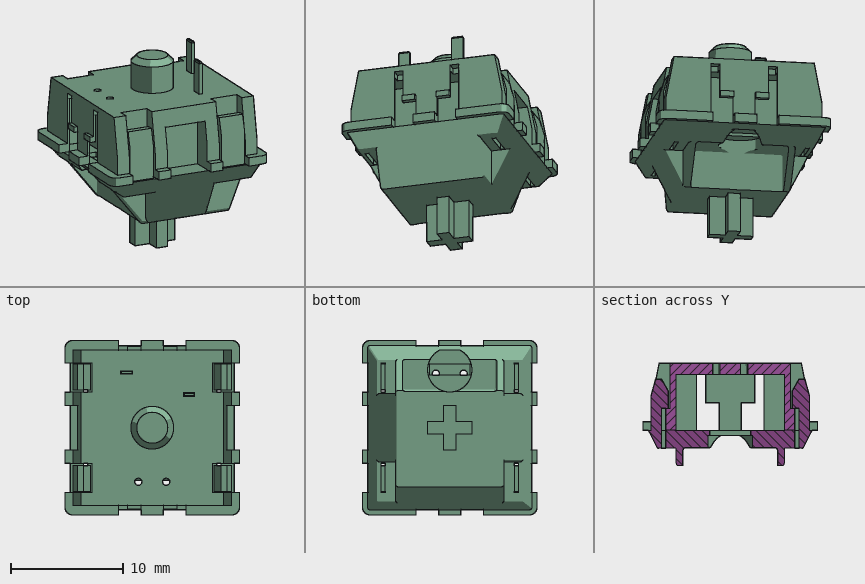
import cadquery as cq
import math


FLANGE_WIDTH = 15.6
FLANGE_THICKNESS = 0.79
FLANGE_CORNER_RADIUS = 0.74
BASE_HEIGHT = 6.0
BASE_HALF_X = 7.07
BASE_TOP_HALF_X = 6.35
BASE_HALF_Y = 6.93
TAPER_START_Z = 2.25

CLIP_POCKET_INNER_X = 5.37
CLIP_POCKET_Y = (3.18, 5.75)
LEDGE_OUTER_X = 5.75
LEDGE_TOP_Z = 1.98
SIDE_POCKET_INNER_X = 5.15
SIDE_POCKET_HALF_Y = 1.98
SIDE_POCKET_TOP_Z = 4.45

SKIN_THICKNESS = 0.2
CAVITY_HALF_X = 4.83
CAVITY_INNER_Y = 4.24
CAVITY_TOP_Z = 4.97
SLOT_INNER_X = 1.0
SLOT_STEP_X = 2.2
SLOT_OUTER_X = 3.0
SLOT_STEP_Z = 2.47
SLOT_TOP_Z = 5.5
SLOT_ROOF_DEPTH = 0.88
HOOK_HEIGHT = 0.5
HOOK_REACH = 0.33

POST_RADIUS = 1.9
POST_CHAMFER = 0.52
PIN_TOP_Z = 9.0
PIN_TIP_HEIGHT = 0.14
PIN_TIP_INSET = 0.07
PINS = [
    (-2.28, 4.92, 1.07, 0.3),
    (3.29, 2.95, 1.0, 0.33),
]
WIRE_HOLE_X = 1.25
WIRE_HOLE_Y = -4.81
WIRE_HOLE_RADIUS = 0.32

COVER_HEIGHT = 5.0
COVER_TOP_HALF = 7.32
COVER_BOTTOM_HALF_X = 4.72
COVER_BOTTOM_FRONT_Y = -3.32
COVER_BOTTOM_BACK_Y = 5.28
COVER_EDGE_RADIUS = 0.2
CORNER_RECESS_X = 4.85
CORNER_RECESS_Y = 3.05
CORNER_RECESS_TOP_Z = -1.6

FRONT_POCKET_HALF_X = 4.22
FRONT_POCKET_BACK_Y = -3.24
FRONT_POCKET_TOP_Z = -1.54
FRONT_POCKET_RADIUS = 0.26
LAMP_RADIUS = 1.98
LAMP_Y = -5.16
LAMP_RIM_RADIUS = 0.1
LAMP_ROOF_Z = -0.45
LAMP_WINDOW_HALF_X = 1.82
LAMP_WINDOW_Y = (-5.69, -4.69)

CLIP_Y = (3.38, 5.69)
CLIP_INNER_X = 6.1
CLIP_TOP_OUTER_X = 6.67
CLIP_TOP_Z = 4.57
CLIP_BEND_Z = 3.1
BARB_INNER_X = 5.51
BARB_SLOPE_END_Z = 3.5

STEM_SPAN = 3.95
STEM_ARM_WIDTH = 1.1
STEM_BOTTOM_Z = -8.5

MATCH_TOLERANCE = 0.002
SIDES = (-1, 1)
CORNERS = [(side_x, side_y) for side_x in SIDES for side_y in SIDES]


def block(x_range, y_range, z_range):
    """Box between two limits on each axis, given in either order."""
    sizes = [abs(b - a) for a, b in (x_range, y_range, z_range)]
    corner = [min(a, b) for a, b in (x_range, y_range, z_range)]
    return cq.Workplane("XY").box(*sizes, centered=False).translate(tuple(corner))


def scaled(limits, side):
    """Both limits multiplied by the sign of a side."""
    return tuple(side * limit for limit in limits)


def base_block():
    """Flange plus the body that narrows towards its top along X."""
    flange = (
        cq.Workplane("XY")
        .rect(FLANGE_WIDTH, FLANGE_WIDTH)
        .extrude(FLANGE_THICKNESS)
        .edges("|Z")
        .fillet(FLANGE_CORNER_RADIUS)
    )
    body = (
        cq.Workplane("XZ")
        .polyline([
            (-BASE_HALF_X, 0),
            (BASE_HALF_X, 0),
            (BASE_HALF_X, TAPER_START_Z),
            (BASE_TOP_HALF_X, BASE_HEIGHT),
            (-BASE_TOP_HALF_X, BASE_HEIGHT),
            (-BASE_HALF_X, TAPER_START_Z),
        ])
        .close()
        .extrude(BASE_HALF_Y, both=True)
    )
    return flange.union(body)


def side_pocket(side_x):
    """Recess in the middle of one X side, closed at its top."""
    return block(
        scaled((SIDE_POCKET_INNER_X, FLANGE_WIDTH), side_x),
        (-SIDE_POCKET_HALF_Y, SIDE_POCKET_HALF_Y),
        (0, SIDE_POCKET_TOP_Z),
    )


def clip_pocket(side_x, side_y):
    """Full-height recess for one clip, leaving the ledge that its barb grips."""
    y_range = scaled(CLIP_POCKET_Y, side_y)
    above_ledge = block(
        scaled((CLIP_POCKET_INNER_X, FLANGE_WIDTH), side_x), y_range, (LEDGE_TOP_Z, BASE_HEIGHT)
    )
    beside_ledge = block(scaled((LEDGE_OUTER_X, FLANGE_WIDTH), side_x), y_range, (0, LEDGE_TOP_Z))
    return above_ledge.union(beside_ledge)


def skin_cavity(side_y):
    """Hollow behind the front or back skin."""
    return block(
        (-CAVITY_HALF_X, CAVITY_HALF_X),
        scaled((CAVITY_INNER_Y, BASE_HALF_Y - SKIN_THICKNESS), side_y),
        (0, CAVITY_TOP_Z),
    )


def stepped_slot(side_x, side_y):
    """Slot through the skin and flange: a wide foot with a tall outer part."""
    foot = block(
        scaled((SLOT_INNER_X, SLOT_OUTER_X), side_x),
        scaled((BASE_HALF_Y - SKIN_THICKNESS, FLANGE_WIDTH), side_y),
        (0, SLOT_STEP_Z),
    )
    tall_part = block(
        scaled((SLOT_STEP_X, SLOT_OUTER_X), side_x),
        scaled((BASE_HALF_Y - SLOT_ROOF_DEPTH, FLANGE_WIDTH), side_y),
        (0, SLOT_TOP_Z),
    )
    return foot.union(tall_part)


def slot_hook(side_x, side_y):
    """Small lug that stands out of the skin on the step of a slot."""
    return block(
        scaled((SLOT_INNER_X, SLOT_STEP_X), side_x),
        scaled((BASE_HALF_Y - SKIN_THICKNESS, BASE_HALF_Y + HOOK_REACH), side_y),
        (SLOT_STEP_Z, SLOT_STEP_Z + HOOK_HEIGHT),
    )


def centre_post():
    """Round locating post with a chamfered tip."""
    return (
        cq.Workplane("XY", origin=(0, 0, BASE_HEIGHT))
        .circle(POST_RADIUS)
        .extrude(PIN_TOP_Z - BASE_HEIGHT)
        .faces(">Z")
        .chamfer(POST_CHAMFER)
    )


def contact_pin(x, y, width, thickness):
    """Flat pin with a bevelled tip."""
    shank_top_z = PIN_TOP_Z - PIN_TIP_HEIGHT
    shank = (
        cq.Workplane("XY", origin=(x, y, BASE_HEIGHT))
        .rect(width, thickness)
        .extrude(shank_top_z - BASE_HEIGHT)
    )
    tip = (
        cq.Workplane("XY", origin=(x, y, shank_top_z))
        .rect(width, thickness)
        .workplane(offset=PIN_TIP_HEIGHT)
        .rect(width - 2 * PIN_TIP_INSET, thickness - 2 * PIN_TIP_INSET)
        .loft(ruled=True)
    )
    return shank.union(tip)


def wire_holes():
    """Two holes for the lamp wires, through the full height of the base."""
    return (
        cq.Workplane("XY")
        .pushPoints([(side_x * WIRE_HOLE_X, WIRE_HOLE_Y) for side_x in SIDES])
        .circle(WIRE_HOLE_RADIUS)
        .extrude(BASE_HEIGHT)
    )


def make_base():
    base = base_block()
    for side in SIDES:
        base = base.cut(side_pocket(side))
        base = base.cut(skin_cavity(side))
    for corner in CORNERS:
        base = base.cut(clip_pocket(*corner))
        base = base.cut(stepped_slot(*corner))
        base = base.union(slot_hook(*corner))
    base = base.cut(wire_holes())
    base = base.union(centre_post())
    for pin in PINS:
        base = base.union(contact_pin(*pin))
    return base


def cover_frustum():
    """Frustum whose front slopes more than its back."""
    side_profile = (
        cq.Workplane("XZ")
        .polyline([
            (-COVER_TOP_HALF, 0),
            (COVER_TOP_HALF, 0),
            (COVER_BOTTOM_HALF_X, -COVER_HEIGHT),
            (-COVER_BOTTOM_HALF_X, -COVER_HEIGHT),
        ])
        .close()
        .extrude(COVER_TOP_HALF, both=True)
    )
    front_to_back_profile = (
        cq.Workplane("YZ")
        .polyline([
            (-COVER_TOP_HALF, 0),
            (COVER_TOP_HALF, 0),
            (COVER_BOTTOM_BACK_Y, -COVER_HEIGHT),
            (COVER_BOTTOM_FRONT_Y, -COVER_HEIGHT),
        ])
        .close()
        .extrude(COVER_TOP_HALF, both=True)
    )
    return side_profile.intersect(front_to_back_profile)


def corner_recess(side_x, side_y):
    """Notch that squares off one lower corner of the frustum."""
    return block(
        scaled((CORNER_RECESS_X, FLANGE_WIDTH), side_x),
        scaled((CORNER_RECESS_Y, FLANGE_WIDTH), side_y),
        (CORNER_RECESS_TOP_Z, -COVER_HEIGHT),
    )


def front_pocket():
    """Pocket in the front slope with rounded inner edges, open at the bottom."""
    pocket = block(
        (-FRONT_POCKET_HALF_X, FRONT_POCKET_HALF_X),
        (-FLANGE_WIDTH, FRONT_POCKET_BACK_Y),
        (FRONT_POCKET_TOP_Z, -2 * COVER_HEIGHT),
    )
    pocket = pocket.edges("|Y and >Z").fillet(FRONT_POCKET_RADIUS)
    return pocket.faces(">Y").edges("not <Z").fillet(FRONT_POCKET_RADIUS)


def lamp_cavity():
    """Round well for a lamp, with a window to the base in its roof."""
    well = (
        cq.Workplane("XY", origin=(0, LAMP_Y, LAMP_ROOF_Z))
        .circle(LAMP_RADIUS)
        .extrude(-COVER_HEIGHT)
    )
    window = block((-LAMP_WINDOW_HALF_X, LAMP_WINDOW_HALF_X), LAMP_WINDOW_Y, (0, LAMP_ROOF_Z))
    return well.union(window)


def clip_relief(side_x, side_y):
    """Opening in the cover between a clip and the ledge it grips."""
    return block(
        scaled((LEDGE_OUTER_X, CLIP_INNER_X), side_x),
        scaled(CLIP_POCKET_Y, side_y),
        (0, CORNER_RECESS_TOP_Z),
    )


def clip(side_x, side_y):
    """Upright spring clip with an inward barb resting on the ledge."""
    profile = [
        (CLIP_INNER_X, 0),
        (BASE_HALF_X, 0),
        (BASE_HALF_X, CLIP_BEND_Z),
        (CLIP_TOP_OUTER_X, CLIP_TOP_Z),
        (CLIP_INNER_X, CLIP_TOP_Z),
        (BARB_INNER_X, BARB_SLOPE_END_Z),
        (BARB_INNER_X, LEDGE_TOP_Z),
        (CLIP_INNER_X, LEDGE_TOP_Z),
    ]
    near_y = min(scaled(CLIP_Y, side_y))
    return (
        cq.Workplane("XZ", origin=(0, near_y, 0))
        .polyline([(side_x * x, z) for x, z in profile])
        .close()
        .extrude(CLIP_Y[0] - CLIP_Y[1])
    )


def touches_recess_corner(edge):
    """True for the three hollow edges that meet in the inner corner of each corner recess."""
    recess_corner = cq.Vector(CORNER_RECESS_X, CORNER_RECESS_Y, -CORNER_RECESS_TOP_Z)
    ends = [cq.Vector(*[abs(value) for value in end.toTuple()]) for end in edge.Vertices()]
    return any((end - recess_corner).Length < MATCH_TOLERANCE for end in ends)


def cover_shell():
    """Frustum with notched corners, rounded along the slopes, the notch rims and the lower X edges."""
    shell = cover_frustum()
    for corner in CORNERS:
        shell = shell.cut(corner_recess(*corner))
    rounded_edges = shell.edges("not(>Z or (<Z and |X))").filter(
        lambda edge: not touches_recess_corner(edge)
    )
    return rounded_edges.fillet(COVER_EDGE_RADIUS)


def is_lamp_rim(edge):
    """True for the rim where the lamp well breaks through the back and ceiling of the front pocket."""
    on_well = all(
        abs(math.hypot(point.x, point.y - LAMP_Y) - LAMP_RADIUS) < MATCH_TOLERANCE
        for point in edge.positions([0, 0.5, 1])
    )
    middle = edge.positionAt(0.5)
    below_slope = middle.z < FRONT_POCKET_TOP_Z + MATCH_TOLERANCE
    above_bottom = middle.z > -COVER_HEIGHT + MATCH_TOLERANCE
    return on_well and below_slope and above_bottom


def make_cover(stem):
    cover = cover_shell().cut(front_pocket()).cut(lamp_cavity())
    cover = cover.edges().filter(is_lamp_rim).fillet(LAMP_RIM_RADIUS)
    for corner in CORNERS:
        cover = cover.cut(clip_relief(*corner))
        cover = cover.union(clip(*corner))
    return cover.cut(stem)


def make_stem():
    length_bar = cq.Workplane("XY").rect(STEM_SPAN, STEM_ARM_WIDTH).extrude(STEM_BOTTOM_Z)
    cross_bar = cq.Workplane("XY").rect(STEM_ARM_WIDTH, STEM_SPAN).extrude(STEM_BOTTOM_Z)
    return length_bar.union(cross_bar)


base = make_base()
stem = make_stem()
cover = make_cover(stem)

result = cq.Compound.makeCompound([base.solids().val(), cover.solids().val(), stem.solids().val()])